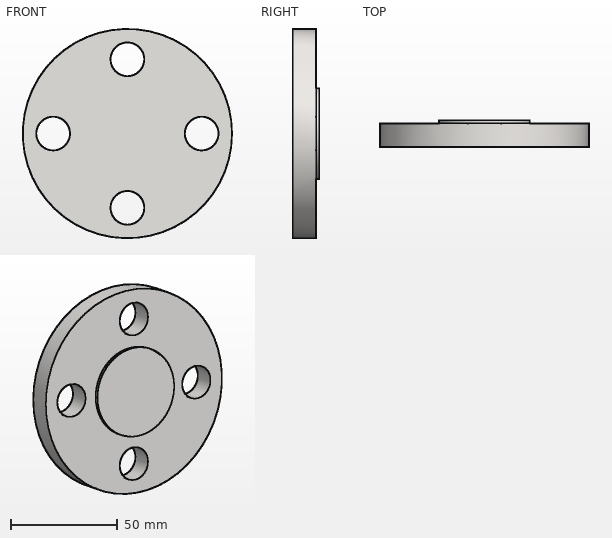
import cadquery as cq

flange_diameter = 98.6
total_thickness = 12.7
raised_face_diameter = 42.9
raised_face_height = 1.6
bolt_circle_diameter = 69.9
bolt_hole_diameter = 15.75
bolt_count = 4

flange_thickness = total_thickness - raised_face_height


def disc(diameter, start_y, thickness):
    """Solid disc centred on the Y axis, growing toward +Y from start_y."""
    return cq.Workplane("XZ", origin=(0, start_y, 0)).circle(diameter / 2).extrude(-thickness)


def bolt_holes():
    """Cylinders through the flange, evenly spaced on the bolt circle."""
    return (
        cq.Workplane("XZ")
        .polarArray(bolt_circle_diameter / 2, 0, 360, bolt_count)
        .circle(bolt_hole_diameter / 2)
        .extrude(-flange_thickness)
    )


flange = disc(flange_diameter, 0, flange_thickness)
raised_face = disc(raised_face_diameter, flange_thickness, raised_face_height)

result = flange.union(raised_face).cut(bolt_holes())